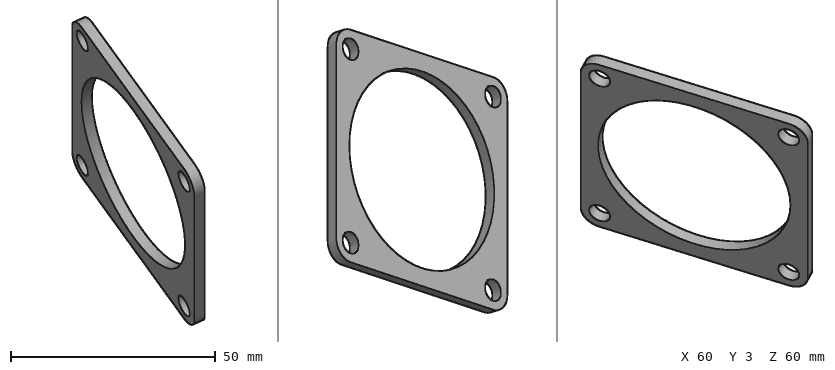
import cadquery as cq

side = 60.0
thickness = 3.0
corner_radius = 5.05
bore_diameter = 50.75
hole_diameter = 5.5

hole_pitch = side - 2 * corner_radius

plate = cq.Workplane("XZ").box(side, side, thickness).edges("|Y").fillet(corner_radius)

plate = plate.faces("<Y").workplane(centerOption="CenterOfBoundBox").hole(bore_diameter)

result = (
    plate.faces("<Y")
    .workplane(centerOption="CenterOfBoundBox")
    .rect(hole_pitch, hole_pitch, forConstruction=True)
    .vertices()
    .hole(hole_diameter)
)